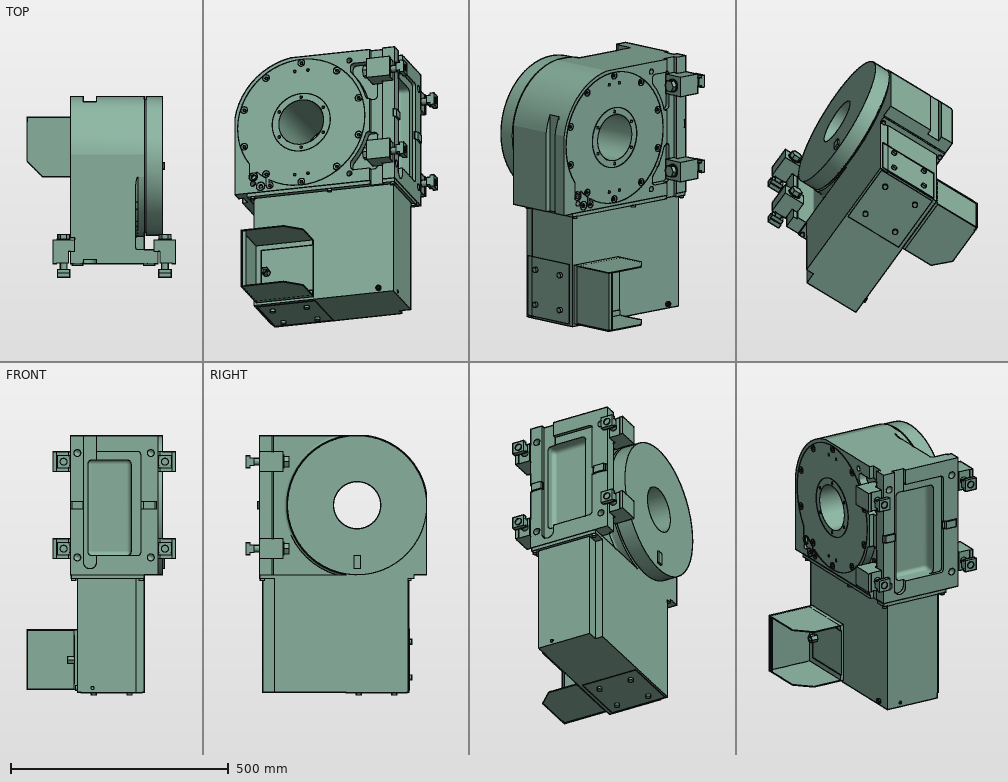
import cadquery as cq
import math


HALF = 160.0
CORNER_R = 162.0
BODY_X = 170.0
BASE_X = 202.0
BASE_Y = -225.0
BASE_TOP_Y = -192.0
CLAMP_LEDGE_Y = -196.0
CLAMP_LEDGE_W = 10.0
BORE_D = 108.0

NECK_R = 153.0
TABLE_X = 174.0
TABLE_END = 212.0
TABLE_KEY = (4.0, 15.0, 30.0)
TABLE_KEY_Z = -131.0

POCKET_DEPTH = 20.0
CLEARANCE_FILLET = 5.0

SLOT_DEPTH = 10.0
SLOT_TOP_Y = -165.0
GROOVE_W = 30.0
GROOVE_X = 45.0
BACK_GROOVE_DEPTH = 12.0
BASE_GROOVE_END_Z = -131.0

RECESS_X = (30.0, 162.0)
RECESS_Z = (-116.0, 124.0)
RECESS_DEPTH = 8.0
RECESS_R = 8.0
CAVITY_X = (40.0, 140.0)
CAVITY_Z = (-116.0, 104.0)
CAVITY_DEPTH = 37.0
CAVITY_R = 10.0

KEY_H = 18.0
KEY_DEPTH = 4.0
KEY_PROUD = 4.0
KEY_SPANS = ((4.0, 29.0), (168.0, 194.0))
KEYWAY_END_X = 198.0

MOUNT_HOLE_D = 16.0
MOUNT_HOLE_DEPTH = 20.0
MOUNT_HOLE_X = (16.0, 185.0)
MOUNT_HOLE_Z = 120.0
FACE_HOLE_D = 12.0
FACE_HOLE_DEPTH = 20.0
FACE_HOLES = ((-116.0, 138.0), (-116.0, -138.0), (116.0, -138.0))
TAPPED_D = 6.0
TAPPED_DEPTH = 12.0

COVER_R = 153.4
COVER_SINK = 1.0
COVER_BOLT_R = 145.0
COVER_BOLT_COUNT = 10
RING_R = 70.0
RING_HOLE_R = 61.0
RING_HOLE_COUNT = 6
COVER_HOLES = (16.0, 126.0)
SIGHT_TAB_Y = (106.0, 125.0)
SIGHT_TAB_Z = (-112.0, -85.0)
LOW_SCREW_Z = -146.0
SCREW_TAB_Y = (78.0, 85.0)
SCREW_TAB_Z = (LOW_SCREW_Z, -125.0)
TAB_SCREW_Y = 76.0
OIL_PLUG_Y = 98.0
POCKET_SCREW = (-152.0, -86.0)
SCREW_HEAD_D = 16.0
SCREW_SOCKET_D = 7.0
OIL_PLUG_D = 20.0
OIL_PLUG_SOCKET_D = 9.0
SIGHT_Y = 116.0
SIGHT_Z = -121.0
SIGHT_D = 20.0
SIGHT_SINK = 3.0
SIGHT_DEPTH = 10.0
SIGHT_BORE_D = 12.0

CLAMP_Z = 100.0
CLAMP_H = 46.0
CLAMP_OUT = 40.0
CLAMP_TOP_Y = -170.0
CLAMP_GAP = 4.0
CLAMP_FOOT_W = 8.0
CLAMP_FOOT_H = 2.0
STUD_X = -15.5
STUD_D = 16.0
HEX_AF = 24.0
HEX_H = 11.0
WASHER_D = 30.0
WASHER_T = 2.0
TNUT_W = 29.0
TNUT_L = 28.0
TNUT_NECK = 18.0
TNUT_Y = (-237.5, -246.0, -256.0)

FLANGE_X = (2.0, 170.0)
FLANGE_Y = (-224.0, 131.0)
FLANGE_Z = -168.5
FLANGE_SCREW_D = 10.0
FLANGE_SCREW_H = 5.0
FLANGE_SCREW_X = (7.5, 163.0)
FLANGE_SCREW_Y = (-218.0, -66.0, 119.0)
COVER_X = (16.0, 151.0)
COVER_Y = (-217.0, 119.0)
COVER_BOTTOM = -430.0
SIDE_X = 170.0
SIDE_Y = (-190.0, 117.0)
PLATE = 140.0
PLATE_T = 1.2
PLATE_X = 95.0
PLATE_BACK_Z = -355.0
PLATE_BOTTOM_Y = 44.5
PLATE_SCREW_PITCH = 82.0
PLATE_SCREW_D = 12.0
PLATE_SCREW_H = 5.5
LOW_FIXING_Z = -420.0
SIDE_SCREW_Y = -182.0
SIDE_SCREW_H = 4.5
FRONT_HOLE_X = 51.0
FRONT_HOLE_D = 7.0
FRONT_HOLE_DEPTH = 6.0

HOOD_X = -100.0
HOOD_Y = (-25.0, 113.0)
HOOD_Z = (-424.0, -286.0)
HOOD_CHAMFER = 36.0
SHEET = 2.0
HOOD_LIP = 11.0
HOOD_BASE_X = 8.0
DOOR_MARGIN = 14.0
KNOB_Y = 86.0
KNOB_Z = -356.0
KNOB_AF = 16.0
KNOB_L = 14.4
KNOB_BORE = 9.0

OVERLAP = 1.0
DRILL_TIP = 118.0
FILLET_SLACK = 0.01


def block(x0, x1, y0, y1, z0, z1):
    """Axis-aligned block between two opposite corners."""
    size = (x1 - x0, y1 - y0, z1 - z0)
    return cq.Workplane("XY").box(*size, centered=False).translate((x0, y0, z0))


def rod_x(x0, x1, y, z, diameter):
    """Cylinder along X."""
    return cq.Workplane("YZ", origin=(x0, y, z)).circle(diameter / 2).extrude(x1 - x0)


def rod_y(y0, y1, x, z, diameter):
    """Cylinder along Y."""
    return cq.Workplane("XZ", origin=(x, y0, z)).circle(diameter / 2).extrude(y0 - y1)


def rod_z(z0, z1, x, y, diameter):
    """Cylinder along Z."""
    return cq.Workplane("XY", origin=(x, y, z0)).circle(diameter / 2).extrude(z1 - z0)


def drill(point, direction, diameter, depth):
    """Blind drilled hole with a conical tip."""
    radius = diameter / 2
    tip = radius / math.tan(math.radians(DRILL_TIP / 2))
    start, axis = cq.Vector(*point), cq.Vector(*direction)
    shaft = cq.Solid.makeCylinder(radius, depth, start, axis)
    cone = cq.Solid.makeCone(radius, 0, tip, start + axis * depth, axis)
    return cq.Workplane(shaft.fuse(cone))


def hex_x(x0, x1, y, z, across_corners):
    """Hexagonal prism along X."""
    return cq.Workplane("YZ", origin=(x0, y, z)).polygon(6, across_corners).extrude(x1 - x0)


def make_housing():
    """Body with a rounded upper corner, base flange, neck and rotary table."""
    tower = rod_x(0, BODY_X, 0, 0, 2 * CORNER_R).intersect(block(0, BODY_X, -HALF, HALF, -HALF, HALF))
    tower = tower.union(block(0, BODY_X, 0, HALF, -HALF, 0))
    tower = tower.union(block(0, BODY_X, BASE_Y, 0, -HALF, HALF))
    base = block(0, BASE_X, BASE_Y, BASE_TOP_Y, -HALF, HALF)
    base = base.cut(block(BASE_X - CLAMP_LEDGE_W, BASE_X, CLAMP_LEDGE_Y, BASE_TOP_Y, -HALF, HALF))
    neck = rod_x(BODY_X - OVERLAP, TABLE_X + OVERLAP, 0, 0, 2 * NECK_R)
    table = rod_x(TABLE_X, TABLE_END, 0, 0, 2 * HALF)
    proud, width, length = TABLE_KEY
    key = block(TABLE_END - OVERLAP, TABLE_END + proud, -width / 2, width / 2,
                TABLE_KEY_Z - length / 2, TABLE_KEY_Z + length / 2)
    housing = tower.union(base).cut(table_clearance()).union(neck).union(table).union(key)
    return housing.cut(rod_x(0, TABLE_END, 0, 0, BORE_D))


def table_clearance():
    """Space around the hub on the table side, between body and base flange."""
    start_y = -math.sqrt(CORNER_R ** 2 - HALF ** 2)
    space = block(BODY_X - POCKET_DEPTH, BODY_X, BASE_TOP_Y, start_y, -HALF, HALF)
    space = space.cut(rod_x(0, BODY_X, 0, 0, 2 * CORNER_R))
    return space.faces("<X").edges("%CIRCLE or <Y").fillet(CLEARANCE_FILLET)


def clamp_pocket(side):
    """Rounded pocket beside the hub in the -X face; side is +1 above, -1 below the axis."""
    outer_y, inner_y = -181.0, -119.0
    near_z, far_z = 40.0, 130.0
    corner_r = 9.0
    low, high = sorted((side * near_z, side * far_z))
    pocket = block(0, POCKET_DEPTH, outer_y, inner_y, low, high)
    pocket = pocket.cut(rod_x(0, POCKET_DEPTH, 0, 0, 2 * CORNER_R))
    return pocket.edges("|X").fillet(corner_r)


def cut_grooves(body):
    """Clamp slot, guide grooves and the recessed cavity in the mounting face."""
    left, right = GROOVE_X - GROOVE_W / 2, GROOVE_X + GROOVE_W / 2
    clamp_slot = block(0, SLOT_DEPTH, CLAMP_LEDGE_Y, SLOT_TOP_Y, FLANGE_Z, HALF)
    back_groove = block(left, right, HALF - BACK_GROOVE_DEPTH, HALF, -HALF, HALF)
    floor_y = BASE_Y + SLOT_DEPTH
    base_groove = block(left, right, BASE_Y, floor_y, BASE_GROOVE_END_Z, HALF)
    groove_end = rod_y(BASE_Y, floor_y, GROOVE_X, BASE_GROOVE_END_Z, GROOVE_W)
    recess = block(*RECESS_X, BASE_Y, BASE_Y + RECESS_DEPTH, *RECESS_Z).edges("|Y and >X").fillet(RECESS_R)
    cavity = block(*CAVITY_X, BASE_Y, BASE_Y + CAVITY_DEPTH, *CAVITY_Z)
    cavity = cavity.edges("|Y").fillet(CAVITY_R).faces(">Y").edges().fillet(CAVITY_R - FILLET_SLACK)
    for cutter in (clamp_slot, back_groove, base_groove, groove_end, recess, cavity):
        body = body.cut(cutter)
    return body


def add_keys(body):
    """Keyways across the mounting face, each with its locating key."""
    keyways = ((0, RECESS_X[0]), (RECESS_X[1], KEYWAY_END_X))
    half = KEY_H / 2
    for ends in keyways:
        body = body.cut(block(*ends, BASE_Y, BASE_Y + KEY_DEPTH, -half, half))
    for ends in KEY_SPANS:
        body = body.union(block(*ends, BASE_Y - KEY_PROUD, BASE_Y + KEY_DEPTH, -half, half))
    return body


def mounting_holes(body):
    """Drilled holes in the mounting face and in the clamping face."""
    for x in MOUNT_HOLE_X:
        for z in (-MOUNT_HOLE_Z, MOUNT_HOLE_Z):
            body = body.cut(drill((x, BASE_Y, z), (0, 1, 0), MOUNT_HOLE_D, MOUNT_HOLE_DEPTH))
    for y, z in FACE_HOLES:
        body = body.cut(drill((0, y, z), (1, 0, 0), FACE_HOLE_D, FACE_HOLE_DEPTH))
    return body


def socket_screw(x, y, z, head_d, socket_d):
    """Cutter for a sunk screw head: a shallow counterbore with a hexagon socket."""
    sink, socket_depth = 1.0, 5.0
    return rod_x(x, x + sink, y, z, head_d).union(hex_x(x, x + socket_depth, y, z, socket_d))


def polar_points(radius, count, start_angle):
    """Evenly spaced (Y, Z) points on a circle about the bore axis."""
    angles = [math.radians(start_angle + 360 / count * i) for i in range(count)]
    return [(radius * math.cos(angle), radius * math.sin(angle)) for angle in angles]


def cover_details(body):
    """Slightly sunk gear cover with two tabs, screws, plugs and tapped holes."""
    cover = rod_x(0, COVER_SINK, 0, 0, 2 * COVER_R)
    cover = cover.union(block(0, COVER_SINK, *SIGHT_TAB_Y, *SIGHT_TAB_Z))
    cover = cover.union(block(0, COVER_SINK, *SCREW_TAB_Y, *SCREW_TAB_Z))
    cover = cover.cut(rod_x(0, COVER_SINK, 0, 0, 2 * RING_R))
    body = body.cut(cover)
    for y, z in polar_points(COVER_BOLT_R, COVER_BOLT_COUNT, 18):
        body = body.cut(socket_screw(COVER_SINK, y, z, SCREW_HEAD_D, SCREW_SOCKET_D))
    for y, z in polar_points(RING_HOLE_R, RING_HOLE_COUNT, 30):
        body = body.cut(drill((0, y, z), (1, 0, 0), TAPPED_D, TAPPED_DEPTH))
    hole_y, hole_z = COVER_HOLES
    for y in (-hole_y, hole_y):
        for z in (-hole_z, hole_z):
            body = body.cut(drill((COVER_SINK, y, z), (1, 0, 0), TAPPED_D, TAPPED_DEPTH))
    body = body.cut(rod_x(0, SIGHT_SINK, SIGHT_Y, SIGHT_Z, SIGHT_D))
    body = body.cut(rod_x(0, SIGHT_DEPTH, SIGHT_Y, SIGHT_Z, SIGHT_BORE_D))
    body = body.cut(socket_screw(0, OIL_PLUG_Y, LOW_SCREW_Z, OIL_PLUG_D, OIL_PLUG_SOCKET_D))
    body = body.cut(socket_screw(0, TAB_SCREW_Y, LOW_SCREW_Z, SCREW_HEAD_D, SCREW_SOCKET_D))
    return body.cut(socket_screw(POCKET_DEPTH, *POCKET_SCREW, SCREW_HEAD_D, SCREW_SOCKET_D))


def make_clamp():
    """L-shaped clamp with hexagon screw and T-nut, centred on Z = 0 at the -X side."""
    half = CLAMP_H / 2
    arm = block(-CLAMP_OUT, SLOT_DEPTH, CLAMP_LEDGE_Y, CLAMP_TOP_Y, -half, half)
    leg = block(-CLAMP_OUT, -CLAMP_GAP, BASE_Y, CLAMP_TOP_Y, -half, half)
    relief = block(CLAMP_FOOT_W - CLAMP_OUT, -CLAMP_GAP, BASE_Y, BASE_Y + CLAMP_FOOT_H, -half, half)
    nut_top, nut_step, nut_bottom = TNUT_Y
    left, right = STUD_X - TNUT_W / 2, STUD_X + TNUT_W / 2
    nut_neck = block(left, right, nut_step, nut_top, -TNUT_NECK / 2, TNUT_NECK / 2)
    nut_foot = block(left, right, nut_bottom, nut_step, -TNUT_L / 2, TNUT_L / 2)
    stud = rod_y(nut_bottom + CLAMP_FOOT_H, CLAMP_TOP_Y, STUD_X, 0, STUD_D)
    nut_hole = rod_y(nut_bottom, nut_bottom + CLAMP_FOOT_H, STUD_X, 0, STUD_D)
    washer_top = CLAMP_TOP_Y + WASHER_T
    washer = rod_y(CLAMP_TOP_Y, washer_top, STUD_X, 0, WASHER_D)
    across_corners = HEX_AF / math.cos(math.radians(30))
    head = cq.Workplane("XZ", origin=(STUD_X, washer_top, 0)).polygon(6, across_corners).extrude(-HEX_H)
    clamp = arm.union(leg).cut(relief).union(stud).union(nut_neck).union(nut_foot)
    return clamp.cut(nut_hole).union(washer).union(head)


def add_clamps(body):
    """Two clamps on each side, mirrored about the middle of the base."""
    left = make_clamp()
    right = left.mirror("YZ", (BASE_X / 2, 0, 0))
    for clamp in (left, right):
        for z in (-CLAMP_Z, CLAMP_Z):
            body = body.union(clamp.translate((0, 0, z)))
    return body


def make_motor_cover():
    """Flange with screws, sheet cover box and square access plates."""
    flange = block(*FLANGE_X, *FLANGE_Y, FLANGE_Z, -HALF)
    cover = flange.union(block(*COVER_X, *COVER_Y, COVER_BOTTOM, FLANGE_Z))
    cover = cover.union(block(COVER_X[1], SIDE_X, *SIDE_Y, COVER_BOTTOM, FLANGE_Z))
    for x in FLANGE_SCREW_X:
        for y in FLANGE_SCREW_Y:
            cover = cover.union(rod_z(FLANGE_Z - FLANGE_SCREW_H, FLANGE_Z, x, y, FLANGE_SCREW_D))
    half, half_pitch = PLATE / 2, PLATE_SCREW_PITCH / 2
    x_ends = (PLATE_X - half, PLATE_X + half)
    back_y = COVER_Y[1]
    cover = cover.union(block(*x_ends, back_y, back_y + PLATE_T, PLATE_BACK_Z - half, PLATE_BACK_Z + half))
    cover = cover.union(block(*x_ends, PLATE_BOTTOM_Y - half, PLATE_BOTTOM_Y + half,
                              COVER_BOTTOM - PLATE_T, COVER_BOTTOM))
    back_end = back_y + PLATE_T + PLATE_SCREW_H
    bottom_end = COVER_BOTTOM - PLATE_T - PLATE_SCREW_H
    for dx in (-half_pitch, half_pitch):
        for offset in (-half_pitch, half_pitch):
            x = PLATE_X + dx
            cover = cover.union(rod_y(back_y, back_end, x, PLATE_BACK_Z + offset, PLATE_SCREW_D))
            cover = cover.union(rod_z(bottom_end, COVER_BOTTOM, x, PLATE_BOTTOM_Y + offset, PLATE_SCREW_D))
    wall_x = COVER_X[0]
    head_x = wall_x - SIDE_SCREW_H
    cover = cover.union(rod_x(head_x, wall_x, SIDE_SCREW_Y, LOW_FIXING_Z, PLATE_SCREW_D))
    cover = cover.cut(hex_x(head_x, wall_x, SIDE_SCREW_Y, LOW_FIXING_Z, SCREW_SOCKET_D))
    return cover.cut(drill((FRONT_HOLE_X, COVER_Y[0], LOW_FIXING_Z), (0, 1, 0), FRONT_HOLE_D, FRONT_HOLE_DEPTH))


def make_hood():
    """Sheet hood open to -X and -Y, on a base plate with a shallow door and a knob."""
    front_y, back_y = HOOD_Y
    bottom, top = HOOD_Z
    wall_x = COVER_X[0]
    shell = block(HOOD_X, HOOD_BASE_X, front_y, back_y, bottom, top)
    shell = shell.edges("|Z and <X and <Y").chamfer(HOOD_CHAMFER)
    inside_z = (bottom + SHEET, top - SHEET)
    shell = shell.cut(block(HOOD_X + SHEET, HOOD_BASE_X, front_y, back_y - SHEET, *inside_z))
    shell = shell.cut(block(HOOD_X, HOOD_X + SHEET, front_y, back_y - HOOD_LIP, *inside_z))
    base = block(HOOD_BASE_X, wall_x, front_y, back_y, bottom, top)
    door = block(HOOD_BASE_X, HOOD_BASE_X + SHEET, front_y, back_y - DOOR_MARGIN,
                 bottom + DOOR_MARGIN, top - DOOR_MARGIN)
    knob = hex_x(HOOD_BASE_X - KNOB_L, wall_x, KNOB_Y, KNOB_Z, KNOB_AF / math.cos(math.radians(30)))
    knob = knob.cut(rod_x(HOOD_BASE_X - KNOB_L, HOOD_BASE_X, KNOB_Y, KNOB_Z, KNOB_BORE))
    return shell.union(base).cut(door).union(knob)


def build():
    body = make_housing().union(make_motor_cover())
    body = cut_grooves(body)
    for side in (1, -1):
        body = body.cut(clamp_pocket(side))
    body = add_keys(body)
    body = mounting_holes(body)
    body = cover_details(body)
    body = add_clamps(body)
    return body.union(make_hood())


result = build()